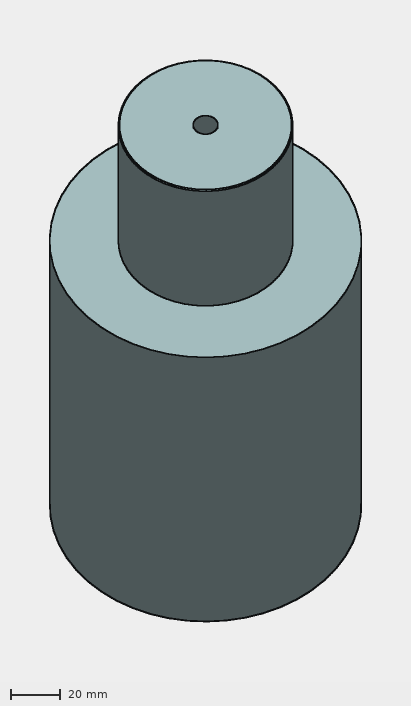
import cadquery as cq

total_height = 230.0
body_diameter = 125.0
body_height = 160.0
neck_diameter = 70.0
bore_diameter = 10.0
neck_edge_chamfer = 0.5

neck_height = total_height - body_height

body = cq.Workplane("XY").circle(body_diameter / 2).extrude(body_height)

neck = (
    cq.Workplane("XY", origin=(0, 0, body_height))
    .circle(neck_diameter / 2)
    .extrude(neck_height)
    .faces(">Z")
    .edges()
    .chamfer(neck_edge_chamfer)
)

bore = cq.Workplane("XY").circle(bore_diameter / 2).extrude(total_height)

result = body.union(neck).cut(bore)